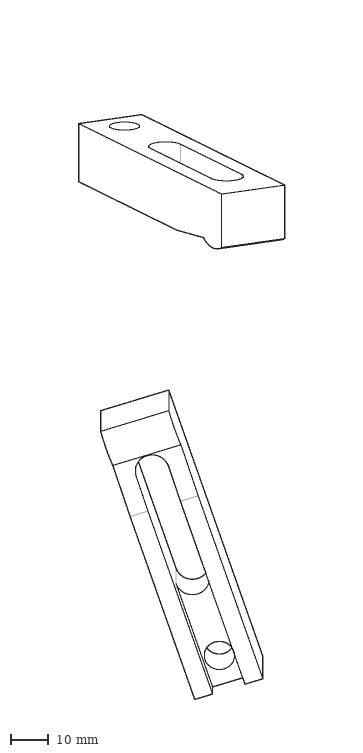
import cadquery as cq
import math

length = 80.0
width = 19.0
height = 16.0

nose_radius = 10.0
nose_center_x = length - 5.0

ramp_start_x = 55.0
ramp_angle = 6.0

hole_diameter = 8.0
hole_x = 8.0

slot_width = 9.0
slot_length = 43.0
slot_center_x = 48.0

groove_depth = 5.0


def ramp_nose_junction():
    """Return the (x, z) point where the ramp line meets the nose arc."""
    angle = math.radians(ramp_angle)
    run_to_center = nose_center_x - ramp_start_x
    along = run_to_center * math.cos(angle) + nose_radius * math.sin(angle)
    offset = nose_radius * math.cos(angle) - run_to_center * math.sin(angle)
    distance = along - math.sqrt(nose_radius**2 - offset**2)
    return ramp_start_x + distance * math.cos(angle), distance * math.sin(angle)


def make_body():
    """Extrude the side profile across the width."""
    nose_reach = length - nose_center_x
    nose_end_z = nose_radius - math.sqrt(nose_radius**2 - nose_reach**2)
    return (
        cq.Workplane("XZ")
        .moveTo(0, 0)
        .lineTo(ramp_start_x, 0)
        .lineTo(*ramp_nose_junction())
        .threePointArc((nose_center_x, 0), (length, nose_end_z))
        .lineTo(length, height)
        .lineTo(0, height)
        .close()
        .extrude(width / 2, both=True)
    )


def make_hole():
    return cq.Workplane("XY").center(hole_x, 0).circle(hole_diameter / 2).extrude(height)


def make_slot():
    return cq.Workplane("XY").center(slot_center_x, 0).slot2D(slot_length, slot_width).extrude(height)


def make_groove():
    return cq.Workplane("XY").box(slot_center_x, slot_width, groove_depth, centered=(False, True, False))


result = make_body().cut(make_hole()).cut(make_slot()).cut(make_groove())